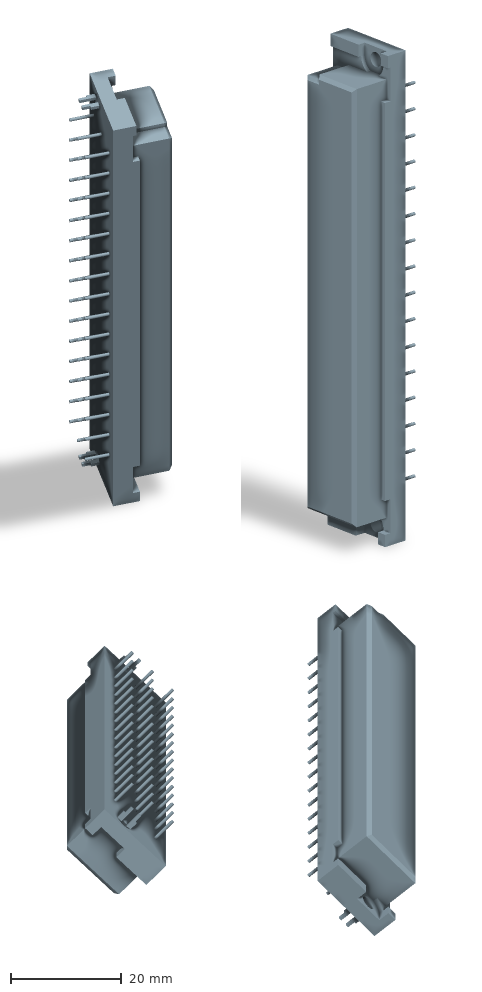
import cadquery as cq

BASE_WIDTH = 15.5
BASE_LENGTH = 94.9
BASE_THICKNESS = 3.7
RAIL_HEIGHT = 5.0
RAIL_BOTTOM_Z = 8.9
RAIL_TOP_Z = 86.0
LIP_LENGTH = 2.4
TOP_LIP_HEIGHT = 4.4
BOTTOM_LIP_HEIGHT = RAIL_HEIGHT

SHELL_WIDTH = 13.2
SHELL_TOP_Y = 11.6
SHELL_END_INSET = 5.0
SHELL_CHAMFER = 0.7
KEY_WIDTH = 3.1
KEY_DEPTH = 0.95

HOLE_DIAMETER = 2.8
HOLE_X = -2.8
HOLE_SPACING = 90.1
RECESS_WIDTH = 6.0
RECESS_FLOOR_Y = 2.8

PIN_DIAMETER = 0.6
PIN_LENGTH = 4.6
PIN_ROWS = 16
PIN_COLUMNS = 3
PIN_ROW_SPAN = 76.2
PIN_ROWS_OFFSET = 1.2

LEG_LENGTH = 3.1
LEG_THICKNESS = 0.7
LEG_INNER_X = 0.7
LEG_OUTER_X = 1.2
BARB_OUTER_X = 1.6
BARB_DEPTH = 1.6

PIN_PITCH = PIN_ROW_SPAN / (PIN_ROWS - 1)
CENTRE_Z = BASE_LENGTH / 2
HOLE_ENDS = [(CENTRE_Z - HOLE_SPACING / 2, -1), (CENTRE_Z + HOLE_SPACING / 2, 1)]
SHELL_BOTTOM_Z = SHELL_END_INSET
SHELL_TOP_Z = BASE_LENGTH - SHELL_END_INSET


def box(x_range, y_range, z_range):
    """Box between the given (low, high) limits on each axis."""
    size = [high - low for low, high in (x_range, y_range, z_range)]
    corner = (x_range[0], y_range[0], z_range[0])
    return cq.Workplane("XY").box(*size, centered=False).translate(corner)


def cylinder_y(x, z, diameter, y_low, y_high):
    """Cylinder along Y between two Y levels."""
    axis_start = cq.Vector(x, y_low, z)
    solid = cq.Solid.makeCylinder(diameter / 2, y_high - y_low, axis_start, cq.Vector(0, 1, 0))
    return cq.Workplane(obj=solid)


def make_base():
    sides = (-BASE_WIDTH / 2, BASE_WIDTH / 2)
    plate = box(sides, (0, BASE_THICKNESS), (0, BASE_LENGTH))
    rails = box(sides, (0, RAIL_HEIGHT), (RAIL_BOTTOM_Z, RAIL_TOP_Z))
    bottom_lip = box(sides, (0, BOTTOM_LIP_HEIGHT), (0, LIP_LENGTH))
    top_lip = box(sides, (0, TOP_LIP_HEIGHT), (BASE_LENGTH - LIP_LENGTH, BASE_LENGTH))
    return plate.union(rails).union(bottom_lip).union(top_lip)


def shell_outline(inset, y):
    """Closed outline of the shell, moved inwards by inset, at level y."""
    left = -SHELL_WIDTH / 2 + inset
    right = SHELL_WIDTH / 2 - inset
    bottom = SHELL_BOTTOM_Z + inset
    top = SHELL_TOP_Z - inset
    key_x = SHELL_WIDTH / 2 - KEY_WIDTH - inset
    key_z = top - KEY_DEPTH
    corners = [(left, bottom), (right, bottom), (right, key_z), (key_x, key_z), (key_x, top), (left, top)]
    return cq.Wire.makePolygon([cq.Vector(x, y, z) for x, z in corners], close=True)


def make_shell():
    chamfer_y = SHELL_TOP_Y - SHELL_CHAMFER
    outer = shell_outline(0, chamfer_y)
    walls = cq.Solid.extrudeLinear(outer, [], cq.Vector(0, RECESS_FLOOR_Y - chamfer_y, 0))
    crown = cq.Solid.makeLoft([outer, shell_outline(SHELL_CHAMFER, SHELL_TOP_Y)], True)
    return cq.Workplane(obj=walls).union(cq.Workplane(obj=crown))


def make_recess(hole_z, end):
    """U-shaped recess around a hole, open towards the end (+1 is the top, -1 the bottom)."""
    round_part = cylinder_y(HOLE_X, hole_z, RECESS_WIDTH, RECESS_FLOOR_Y, RAIL_HEIGHT)
    end_z = BASE_LENGTH if end > 0 else 0
    open_part = box(
        (HOLE_X - RECESS_WIDTH / 2, HOLE_X + RECESS_WIDTH / 2),
        (RECESS_FLOOR_Y, RAIL_HEIGHT),
        (min(hole_z, end_z), max(hole_z, end_z)),
    )
    return round_part.union(open_part)


def make_pins():
    """All contact pins, rooted in the plate, which makes them one piece with the housing."""
    first_z = CENTRE_Z + PIN_ROWS_OFFSET - PIN_ROW_SPAN / 2
    pins = cq.Workplane()
    for column in range(PIN_COLUMNS):
        pin_x = (column - (PIN_COLUMNS - 1) / 2) * PIN_PITCH
        for row in range(PIN_ROWS):
            pin_z = first_z + row * PIN_PITCH
            pins = pins.add(cylinder_y(pin_x, pin_z, PIN_DIAMETER, -PIN_LENGTH, BASE_THICKNESS / 2))
    return pins.combine()


def make_housing():
    housing = make_base()
    for hole_z, end in HOLE_ENDS:
        housing = housing.cut(make_recess(hole_z, end))
        housing = housing.cut(cylinder_y(HOLE_X, hole_z, HOLE_DIAMETER, 0, RAIL_HEIGHT))
    housing = housing.union(make_shell())
    return housing.union(make_pins())


def make_leg(hole_z, side):
    """Board-lock leg whose barb bears on the hole rim; side is -1 for the -X leg and +1 for the +X leg."""
    inner_x = HOLE_X + side * LEG_INNER_X
    leg_x = sorted((inner_x, HOLE_X + side * LEG_OUTER_X))
    barb_x = sorted((inner_x, HOLE_X + side * BARB_OUTER_X))
    leg_z = (hole_z - LEG_THICKNESS / 2, hole_z + LEG_THICKNESS / 2)
    shank = box(leg_x, (-LEG_LENGTH, 0), leg_z)
    barb = box(barb_x, (-BARB_DEPTH, 0), leg_z)
    return shank.union(barb)


housing = make_housing()
legs = [make_leg(hole_z, side).val() for hole_z, _ in HOLE_ENDS for side in (-1, 1)]

result = cq.Compound.makeCompound([housing.val(), *legs])